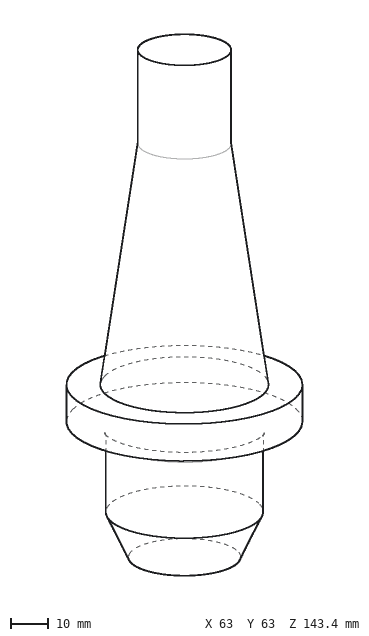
import cadquery as cq

stem_diameter = 25.0
cone_base_diameter = 44.9
flange_diameter = 63.0
plug_diameter = 42.0
plug_tip_diameter = 30.0

total_height = 143.4
plug_taper_height = 12.8
flange_bottom = 38.3
flange_thickness = 10.5
stem_length = 26.4
flange_top = flange_bottom + flange_thickness
stem_bottom = total_height - stem_length

fillet_radius = 4.0
fillet_diagonal = fillet_radius * (1 - 0.5**0.5)

plug_radius = plug_diameter / 2

profile = (
    cq.Workplane("XZ")
    .lineTo(plug_tip_diameter / 2, 0)
    .lineTo(plug_radius, plug_taper_height)
    .lineTo(plug_radius, flange_bottom - fillet_radius)
    .threePointArc(
        (plug_radius + fillet_diagonal, flange_bottom - fillet_diagonal),
        (plug_radius + fillet_radius, flange_bottom),
    )
    .lineTo(flange_diameter / 2, flange_bottom)
    .lineTo(flange_diameter / 2, flange_top)
    .lineTo(cone_base_diameter / 2, flange_top)
    .lineTo(stem_diameter / 2, stem_bottom)
    .lineTo(stem_diameter / 2, total_height)
    .lineTo(0, total_height)
    .close()
)

result = profile.revolve(360, (0, 0, 0), (0, 1, 0))